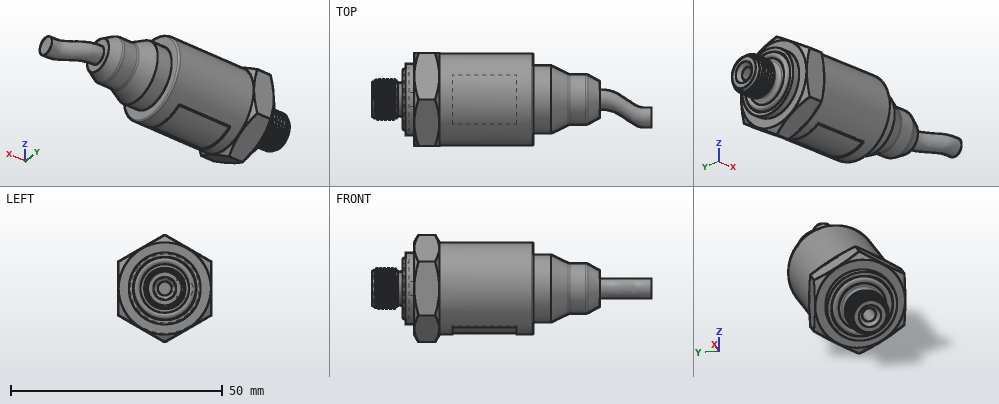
import cadquery as cq
import math


neck_start = 6.25
neck_end = 6.65
flange_face = 8.0
hex_start = 10.0
hex_end = 16.0
tube_end = 38.2
collar_end = 42.35
waist_start = 46.6
waist_end = 50.85
gland_end = 53.95
cable_end = 66.17

thread_pitch = 0.907
thread_major_diameter = 9.73
thread_minor_diameter = 8.57
thread_flank_angle = 27.5
thread_crest_width = 0.15
thread_embed = 0.1
thread_clearance = 0.2
thread_start = 0.3
thread_length = 6.0
port_tip_diameter = 8.0
tip_chamfer_angle = 35.0
neck_diameter = 8.0
neck_fillet = 1.0
bore_diameter = 3.3
bore_depth = 10.0
countersink_diameter = 5.4

flange_diameter = 17.0
hex_sides = 6
hex_across_flats = 22.0
hex_chamfer_angle = 30.0
tube_diameter = 21.8
tube_end_fillet = 0.45

recess_start = 19.1
recess_length = 15.1
recess_width = 11.5
recess_floor_diameter = 21.2

seal_inner_diameter = 11.5
seal_outer_diameter = 14.7
seal_groove_outer_diameter = 15.0
seal_section_radius = (seal_outer_diameter - seal_inner_diameter) / 4
seal_mean_radius = (seal_outer_diameter + seal_inner_diameter) / 4

collar_diameter = 16.2
waist_diameter = 12.0
gland_tip_diameter = 8.6
waist_fillet = 1.2

cable_diameter = 4.8
cable_offset = 4.28
cable_quarter_drop = 0.47
cable_quarter_rise = 0.22


def revolve_about_x(profile):
    return profile.close().revolve(360, (0, 0, 0), (1, 0, 0))


def cylinder(start, end, diameter):
    return cq.Workplane("YZ", origin=(start, 0, 0)).circle(diameter / 2).extrude(end - start)


def port_envelope():
    """Turned outline of the port: tip cone, clear space over the thread, neck and neck fillet."""
    clear_radius = thread_major_diameter / 2 + thread_clearance
    tip_radius = port_tip_diameter / 2
    neck_radius = neck_diameter / 2
    tip_chamfer = (clear_radius - tip_radius) / math.tan(math.radians(tip_chamfer_angle))
    step_down = clear_radius - neck_radius
    profile = (
        cq.Workplane("XY")
        .lineTo(0, tip_radius)
        .lineTo(tip_chamfer, clear_radius)
        .lineTo(neck_start - step_down, clear_radius)
        .lineTo(neck_start, neck_radius)
        .lineTo(neck_end, neck_radius)
        .radiusArc((neck_end + neck_fillet, neck_radius + neck_fillet), -neck_fillet)
        .lineTo(neck_end + neck_fillet, seal_inner_diameter / 2)
        .lineTo(hex_start, seal_inner_diameter / 2)
        .lineTo(hex_start, 0)
    )
    return revolve_about_x(profile)


def thread_ridge():
    """Right-handed helical ridge whose root is sunk slightly into the port core."""
    core_radius = thread_minor_diameter / 2
    root_radius = core_radius - thread_embed
    crest_radius = thread_major_diameter / 2
    half_crest = thread_crest_width / 2
    half_root = half_crest + (crest_radius - root_radius) * math.tan(math.radians(thread_flank_angle))
    helix_origin = cq.Vector(thread_start, 0, 0)
    helix_axis = cq.Vector(1, 0, 0)
    helix = cq.Wire.makeHelix(thread_pitch, thread_length, core_radius, helix_origin, helix_axis)
    outward = helix.startPoint() - helix_origin
    section_plane = cq.Plane(origin=helix_origin, xDir=helix_axis, normal=helix_axis.cross(outward))
    section = cq.Workplane(section_plane).polyline(
        [
            (-half_root, root_radius),
            (-half_crest, crest_radius),
            (half_crest, crest_radius),
            (half_root, root_radius),
        ]
    )
    return section.close().sweep(cq.Workplane(obj=helix), isFrenet=True)


def hexagon():
    """Hexagon with flats on +-Y, its corners turned off conically at both ends."""
    corner_diameter = hex_across_flats / math.cos(math.radians(180 / hex_sides))
    corner_radius = corner_diameter / 2
    face_radius = tube_diameter / 2
    chamfer_length = (corner_radius - face_radius) * math.tan(math.radians(hex_chamfer_angle))
    prism = (
        cq.Workplane("YZ", origin=(hex_start, 0, 0))
        .transformed(rotate=(0, 0, 90))
        .polygon(hex_sides, corner_diameter)
        .extrude(hex_end - hex_start)
    )
    turned = revolve_about_x(
        cq.Workplane("XY")
        .moveTo(hex_start, 0)
        .lineTo(hex_start, face_radius)
        .lineTo(hex_start + chamfer_length, corner_radius)
        .lineTo(hex_end - chamfer_length, corner_radius)
        .lineTo(hex_end, face_radius)
        .lineTo(hex_end, 0)
    )
    return prism.intersect(turned)


def label_recess():
    """Shallow rectangular pocket with a floor concentric with the tube."""
    block = (
        cq.Workplane("XY", origin=(recess_start, 0, -tube_diameter))
        .box(recess_length, recess_width, tube_diameter, centered=(False, True, False))
    )
    return block.cut(cylinder(recess_start, recess_start + recess_length, recess_floor_diameter))


def seal_groove():
    floor = flange_face + seal_section_radius
    outer = cylinder(flange_face, floor, seal_groove_outer_diameter)
    return outer.cut(cylinder(flange_face, floor, seal_inner_diameter))


def port_bore():
    """Blind pressure bore with a 45 degree countersink."""
    mouth_radius = countersink_diameter / 2
    bore_radius = bore_diameter / 2
    profile = (
        cq.Workplane("XY")
        .lineTo(0, mouth_radius)
        .lineTo(mouth_radius - bore_radius, bore_radius)
        .lineTo(bore_depth, bore_radius)
        .lineTo(bore_depth, 0)
    )
    return revolve_about_x(profile)


def make_housing():
    rod = cylinder(0, hex_start, thread_minor_diameter).union(thread_ridge())
    shoulder = cylinder(neck_end, hex_start, seal_inner_diameter)
    port = rod.union(shoulder).intersect(port_envelope())
    flange = cylinder(flange_face, hex_start, flange_diameter)
    tube = cylinder(hex_end, tube_end, tube_diameter).faces(">X").edges().fillet(tube_end_fillet)
    body = flange.cut(seal_groove()).union(hexagon()).union(tube).cut(label_recess())
    return body.union(port).cut(port_bore())


def make_seal():
    section = cq.Workplane("XY").center(flange_face, seal_mean_radius).circle(seal_section_radius)
    return section.revolve(360, (0, -seal_mean_radius, 0), (1, -seal_mean_radius, 0))


def make_gland():
    """Stepped, tapered gland with both ends of its waist blended."""
    gland = revolve_about_x(
        cq.Workplane("XY")
        .moveTo(tube_end, 0)
        .lineTo(tube_end, collar_diameter / 2)
        .lineTo(collar_end, collar_diameter / 2)
        .lineTo(waist_start, waist_diameter / 2)
        .lineTo(waist_end, waist_diameter / 2)
        .lineTo(gland_end, gland_tip_diameter / 2)
        .lineTo(gland_end, 0)
    )
    for station in (waist_start, waist_end):
        waist_edge = cq.selectors.BoxSelector(
            (station - waist_fillet, -collar_diameter, -collar_diameter),
            (station + waist_fillet, collar_diameter, collar_diameter),
        )
        gland = gland.edges("%CIRCLE").edges(waist_edge).fillet(waist_fillet)
    return gland


def make_cable():
    """Cable swept along a smooth S, its circular section kept square to X throughout."""
    quarter_run = (cable_end - gland_end) / 4
    path = cq.Workplane("XY").spline(
        [
            (gland_end, 0),
            (gland_end + quarter_run, -cable_quarter_drop),
            (cable_end - quarter_run, cable_quarter_rise - cable_offset),
            (cable_end, -cable_offset),
        ],
        tangents=[(1, 0), (1, 0)],
    )
    section = cq.Workplane("YZ", origin=(gland_end, 0, 0)).circle(cable_diameter / 2)
    return section.sweep(path, normal=(1, 0, 0))


housing = make_housing()
seal = make_seal()
gland = make_gland()
cable = make_cable()

result = cq.Compound.makeCompound([housing.val(), seal.val(), gland.val(), cable.val()])